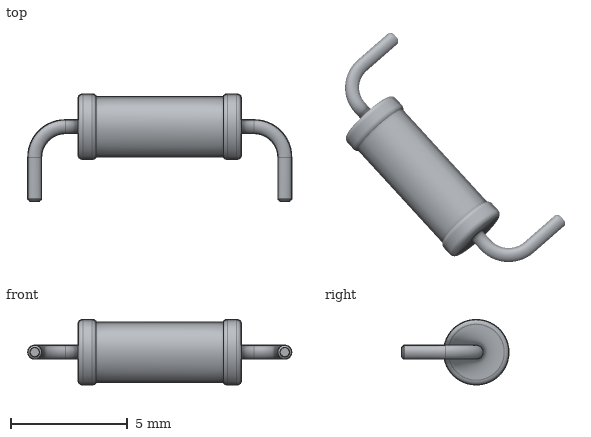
import cadquery as cq
import math

span = 11.3
lead_diameter = 0.6
cap_diameter = 2.8
barrel_diameter = 2.6
body_length = 7.0
cap_length = 0.78

cap_round = 0.2
lead_tip_chamfer = 0.1

lead_reach = 3.2
bend_radius = 1.31
lead_x = (span - lead_diameter) / 2
bend_start_x = lead_x - bend_radius


def make_body():
    """Solid of revolution: a barrel with a larger, rounded cap at each end."""
    half_length = body_length / 2
    cap_radius = cap_diameter / 2
    barrel_radius = barrel_diameter / 2
    step = cap_radius - barrel_radius
    cap_inner_x = half_length - cap_length
    inner_round_width = math.sqrt(cap_round**2 - (cap_round - step) ** 2)
    inner_flat_x = cap_inner_x + inner_round_width
    outer_flat_x = half_length - cap_round
    shoulder_radius = cap_radius - cap_round
    profile = (
        cq.Workplane("XY")
        .moveTo(-half_length, 0)
        .lineTo(-half_length, shoulder_radius)
        .radiusArc((-outer_flat_x, cap_radius), cap_round)
        .lineTo(-inner_flat_x, cap_radius)
        .radiusArc((-cap_inner_x, barrel_radius), cap_round)
        .lineTo(cap_inner_x, barrel_radius)
        .radiusArc((inner_flat_x, cap_radius), cap_round)
        .lineTo(outer_flat_x, cap_radius)
        .radiusArc((half_length, shoulder_radius), cap_round)
        .lineTo(half_length, 0)
        .close()
    )
    return profile.revolve(360, (0, 0, 0), (1, 0, 0))


def make_lead():
    """Round wire leaving the +X cap along the axis and bending toward -Y."""
    root_x = body_length / 2 - cap_length
    path = (
        cq.Workplane("XY")
        .moveTo(root_x, 0)
        .lineTo(bend_start_x, 0)
        .radiusArc((lead_x, -bend_radius), bend_radius)
        .lineTo(lead_x, -lead_reach)
    )
    wire = (
        cq.Workplane("YZ", origin=(root_x, 0, 0))
        .circle(lead_diameter / 2)
        .sweep(path)
    )
    return wire.faces("<Y").chamfer(lead_tip_chamfer)


lead = make_lead()
result = make_body().union(lead).union(lead.mirror("YZ"))